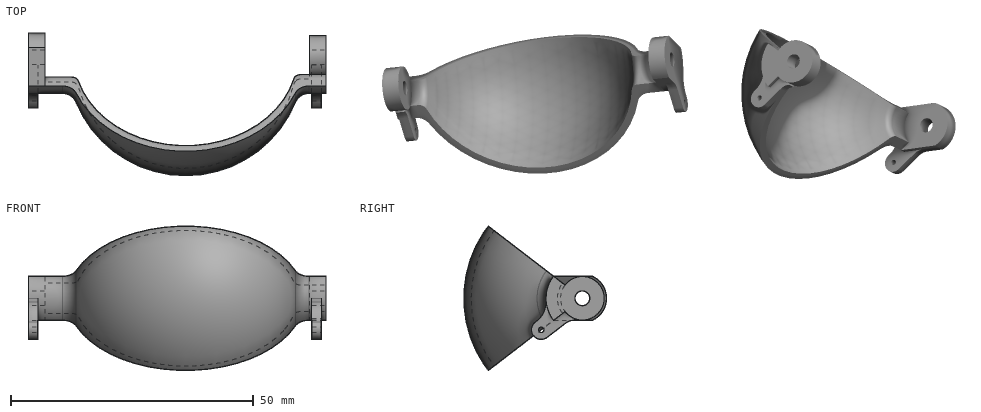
import cadquery as cq
import math


SHELL_OUTER_R = 24.5
SHELL_INNER_R = 23.0
SWEEP_ANGLE = 75.0
HALF_SWEEP = math.radians(SWEEP_ANGLE / 2)

ARM_OUTER_R = 7.5
LEFT_ARM_INNER_R = 5.15
RIGHT_ARM_INNER_R = 4.5
LEFT_END_X = -32.5
RIGHT_END_X = 29.0
OUTER_BLEND_R = 3.0
INNER_BLEND_R = 1.5

EAR_WIDTH = 3.5
LEFT_EAR_R = 5.0
RIGHT_EAR_R = RIGHT_ARM_INNER_R
EAR_HALF_HEIGHT = ARM_OUTER_R * math.sin(HALF_SWEEP)
PIVOT_HOLE_D = 3.0

LEVER_WIDTH = 2.0
RIGHT_LEVER_INSET = 1.0
LEVER_TIP_R = 2.0
LEVER_TIP_DROP = 6.5
LEVER_TIP_REACH = 8.5
LEVER_HOLE_D = 1.1
LEVER_NECK_R = 5.0
LEVER_ROOT_R = 3.0
LEVER_ROOT_REACH = 1.6


def x_disc(radius, x_start, width, y=0.0, z=0.0):
    """Cylinder along X."""
    return cq.Workplane("YZ", origin=(x_start, y, z)).circle(radius).extrude(width)


def blend_points(side, sphere_r, arm_r, blend_r):
    """Arm tangent point, arc midpoint and sphere tangent point of a blend arc.

    The arc lies outside both the sphere and the arm cylinder and touches each.
    """
    centre_r = arm_r + blend_r
    reach = sphere_r + blend_r
    centre_x = math.sqrt(reach**2 - centre_r**2)
    on_sphere = (centre_x * sphere_r / reach, centre_r * sphere_r / reach)
    sphere_angle = math.atan2(on_sphere[1] - centre_r, on_sphere[0] - centre_x)
    arm_angle = -math.pi / 2
    middle_angle = (arm_angle + sphere_angle % (2 * math.pi) - 2 * math.pi) / 2
    middle = (
        centre_x + blend_r * math.cos(middle_angle),
        centre_r + blend_r * math.sin(middle_angle),
    )
    points = [(centre_x, arm_r), middle, on_sphere]
    return [(side * x, -r) for x, r in points]


def make_shell_and_arms():
    """Shell and both arms as one profile turned about the X axis."""
    left_outer = blend_points(-1, SHELL_OUTER_R, ARM_OUTER_R, OUTER_BLEND_R)
    right_outer = blend_points(1, SHELL_OUTER_R, ARM_OUTER_R, OUTER_BLEND_R)
    left_inner = blend_points(-1, SHELL_INNER_R, LEFT_ARM_INNER_R, INNER_BLEND_R)
    right_inner = blend_points(1, SHELL_INNER_R, RIGHT_ARM_INNER_R, INNER_BLEND_R)
    profile = (
        cq.Workplane("XY")
        .moveTo(LEFT_END_X, -ARM_OUTER_R)
        .lineTo(*left_outer[0])
        .threePointArc(left_outer[1], left_outer[2])
        .threePointArc((0, -SHELL_OUTER_R), right_outer[2])
        .threePointArc(right_outer[1], right_outer[0])
        .lineTo(RIGHT_END_X, -ARM_OUTER_R)
        .lineTo(RIGHT_END_X, -RIGHT_ARM_INNER_R)
        .lineTo(*right_inner[0])
        .threePointArc(right_inner[1], right_inner[2])
        .threePointArc((0, -SHELL_INNER_R), left_inner[2])
        .threePointArc(left_inner[1], left_inner[0])
        .lineTo(LEFT_END_X, -LEFT_ARM_INNER_R)
        .close()
    )
    turned = profile.revolve(SWEEP_ANGLE, (0, 0, 0), (1, 0, 0))
    return turned.rotate((0, 0, 0), (1, 0, 0), -SWEEP_ANGLE / 2)


def make_left_ear():
    """Flat-sided ear with a round back, filled forward to the outer arm face."""
    back_y = math.sqrt(LEFT_EAR_R**2 - EAR_HALF_HEIGHT**2)
    front_y = -ARM_OUTER_R * math.cos(HALF_SWEEP)
    return (
        cq.Workplane("YZ", origin=(LEFT_END_X, 0, 0))
        .moveTo(back_y, EAR_HALF_HEIGHT)
        .lineTo(front_y, EAR_HALF_HEIGHT)
        .threePointArc((-ARM_OUTER_R, 0), (front_y, -EAR_HALF_HEIGHT))
        .lineTo(back_y, -EAR_HALF_HEIGHT)
        .threePointArc((LEFT_EAR_R, 0), (back_y, EAR_HALF_HEIGHT))
        .close()
        .extrude(EAR_WIDTH)
    )


def make_right_ear():
    """Plain round ear that fits the inner face of the right arm."""
    return x_disc(RIGHT_EAR_R, RIGHT_END_X - EAR_WIDTH, EAR_WIDTH)


def make_lever(x_start):
    """Lever that reaches forward and down from the arm to a round tip."""
    tip_y = -LEVER_TIP_REACH
    tip_z = -LEVER_TIP_DROP

    neck_y = -ARM_OUTER_R - LEVER_NECK_R
    centre_gap = LEVER_NECK_R + LEVER_TIP_R
    neck_z = tip_z + math.sqrt(centre_gap**2 - (neck_y - tip_y)**2)
    neck_end_angle = math.atan2(tip_z - neck_z, tip_y - neck_y)
    neck_middle_angle = neck_end_angle / 2
    neck_middle = (
        neck_y + LEVER_NECK_R * math.cos(neck_middle_angle),
        neck_z + LEVER_NECK_R * math.sin(neck_middle_angle),
    )
    neck_end = (
        neck_y + LEVER_NECK_R * math.cos(neck_end_angle),
        neck_z + LEVER_NECK_R * math.sin(neck_end_angle),
    )

    under_end = (
        tip_y + LEVER_TIP_R * math.sin(HALF_SWEEP),
        tip_z - LEVER_TIP_R * math.cos(HALF_SWEEP),
    )
    corner_y = under_end[0] - (under_end[1] + EAR_HALF_HEIGHT) / math.tan(HALF_SWEEP)
    tangent_length = LEVER_ROOT_R * math.tan(HALF_SWEEP / 2)
    root_y = corner_y + tangent_length
    root_z = -EAR_HALF_HEIGHT - LEVER_ROOT_R
    root_middle = (
        root_y - LEVER_ROOT_R * math.sin(HALF_SWEEP / 2),
        root_z + LEVER_ROOT_R * math.cos(HALF_SWEEP / 2),
    )
    root_end = (
        root_y - LEVER_ROOT_R * math.sin(HALF_SWEEP),
        root_z + LEVER_ROOT_R * math.cos(HALF_SWEEP),
    )

    lever = (
        cq.Workplane("YZ", origin=(x_start, 0, 0))
        .moveTo(-LEVER_ROOT_REACH, 0)
        .lineTo(-ARM_OUTER_R, 0)
        .lineTo(-ARM_OUTER_R, neck_z)
        .threePointArc(neck_middle, neck_end)
        .threePointArc((tip_y - LEVER_TIP_R, tip_z), under_end)
        .lineTo(*root_end)
        .threePointArc(root_middle, (root_y, -EAR_HALF_HEIGHT))
        .lineTo(-LEVER_ROOT_REACH, -EAR_HALF_HEIGHT)
        .close()
        .extrude(LEVER_WIDTH)
    )
    return lever.cut(x_disc(LEVER_HOLE_D / 2, x_start, LEVER_WIDTH, tip_y, tip_z))


def make_pivot_hole():
    """Bore through both ears along the X axis."""
    return x_disc(PIVOT_HOLE_D / 2, LEFT_END_X, RIGHT_END_X - LEFT_END_X)


right_lever_x = RIGHT_END_X - RIGHT_LEVER_INSET - LEVER_WIDTH

result = (
    make_shell_and_arms()
    .union(make_left_ear())
    .union(make_right_ear())
    .union(make_lever(LEFT_END_X))
    .union(make_lever(right_lever_x))
    .cut(make_pivot_hole())
)